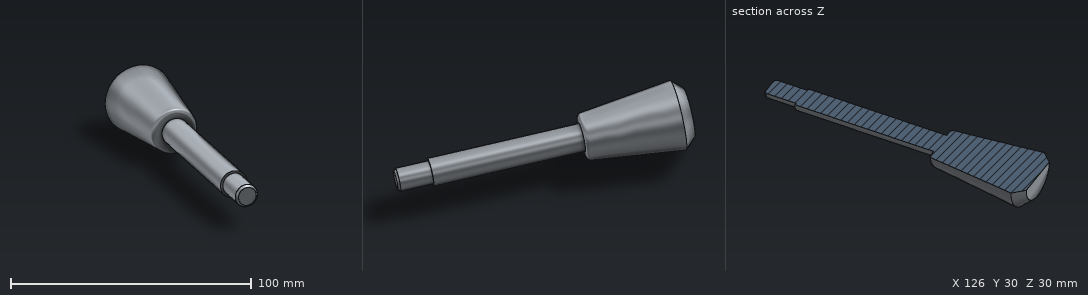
import cadquery as cq

total_length = 126.0

knob_length = 46.0
knob_diameter = 30.0
knob_neck_diameter = 20.0
front_face_diameter = 20.9
front_bevel_length = 4.8
neck_fillet = 2.0

shaft_diameter = 12.0
spigot_diameter = 10.0
spigot_length = 15.0
spigot_chamfer = 1.0


def make_knob():
    """Cone narrowing toward the shaft, bevelled in front and rounded at the neck."""
    profile = (
        cq.Workplane("XZ")
        .lineTo(0, front_face_diameter / 2)
        .lineTo(front_bevel_length, knob_diameter / 2)
        .lineTo(knob_length, knob_neck_diameter / 2)
        .lineTo(knob_length, 0)
        .close()
    )
    knob = profile.revolve(360, (0, 0, 0), (1, 0, 0))
    return knob.faces(">X").edges().fillet(neck_fillet)


def make_rod():
    """Shaft from the knob neck, stepping down to a chamfered spigot."""
    shaft_length = total_length - knob_length - spigot_length
    shaft = cq.Workplane("YZ", origin=(knob_length, 0, 0)).circle(shaft_diameter / 2).extrude(shaft_length)
    spigot = (
        cq.Workplane("YZ", origin=(total_length - spigot_length, 0, 0))
        .circle(spigot_diameter / 2)
        .extrude(spigot_length)
        .faces(">X")
        .chamfer(spigot_chamfer)
    )
    return shaft.union(spigot)


result = make_knob().union(make_rod())